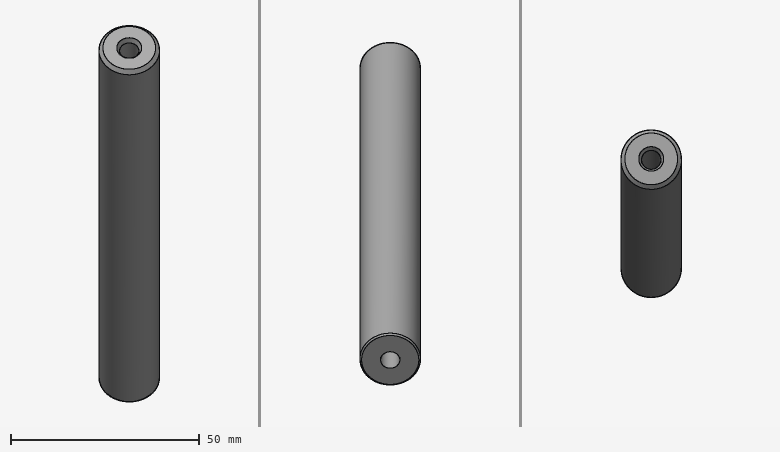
import cadquery as cq

length = 150.0
rod_diameter = 16.0
top_chamfer = 1.0
bottom_chamfer = 0.5
bore_diameter = 5.1
mouth_diameter = 6.6
mouth_depth = 1.4

rod_radius = rod_diameter / 2
bore_radius = bore_diameter / 2
mouth_radius = mouth_diameter / 2

half_section = (
    cq.Workplane("XZ")
    .moveTo(bore_radius, 0)
    .lineTo(rod_radius - bottom_chamfer, 0)
    .lineTo(rod_radius, bottom_chamfer)
    .lineTo(rod_radius, length - top_chamfer)
    .lineTo(rod_radius - top_chamfer, length)
    .lineTo(mouth_radius, length)
    .lineTo(bore_radius, length - mouth_depth)
    .close()
)

result = half_section.revolve(360, (0, 0, 0), (0, 1, 0))